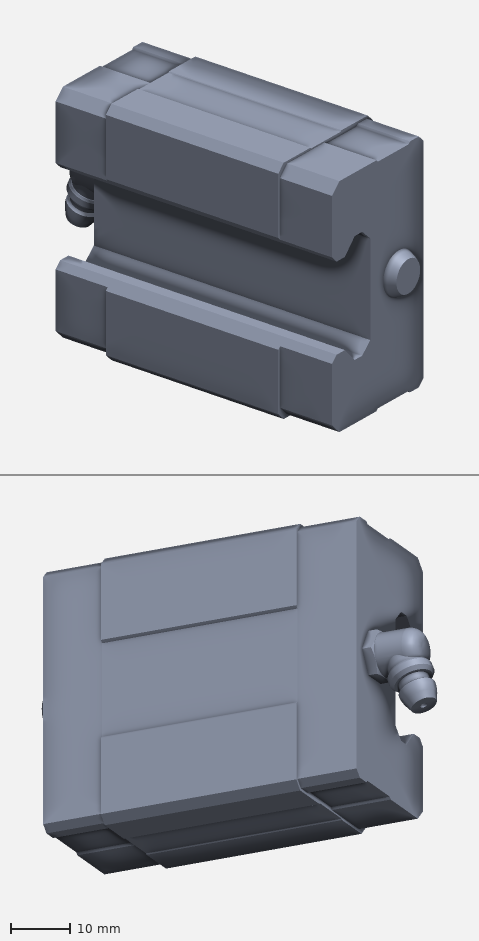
import cadquery as cq
import math


block_length = 36.8
block_depth = 26.0
block_half_width = 24.0
block_chamfer = 1.5
mount_groove_depth = 0.45
mount_groove_half_width = 8.4
side_groove_depth = 0.2
side_groove_y = (8.8, 17.3)

carriage_length = 59.0
cap_inset = 0.5
cap_front_chamfer = 2.0
cap_back_chamfer = 1.25
cap_groove_depth = 0.4
cap_groove_y = (12.65, 21.8)

channel_floor_y = 10.95
channel_half_width = 9.5
pocket_half_width = 11.6
pocket_y = (6.7, 8.75)
lip_half_width = 8.72
lip_y = (1.75, 4.0)

fitting_y = 18.8
hex_flats = 8.0
hex_length = 1.95
hex_chamfer_length = 0.3
hex_chamfer_depth = 0.6
elbow_diameter = 7.85
elbow_length = 9.55
elbow_rounding = 2.45
nipple_offset = 5.09
nipple_tilt = 22.5
boss_diameter = 7.0
flange_diameter = 8.0
flange_top_diameter = 7.5
flange_bottom_diameter = 6.9
neck_diameter = 5.5
head_diameter = 6.6
barrel_middle_diameter = 6.4
barrel_end_diameter = 5.6
tip_diameter = 4.6
tip_hole_diameter = 1.2
tip_hole_depth = 1.0

flange_start = 3.7
flange_rim_start = 4.1
flange_rim_end = 5.3
flange_end = 6.0
head_start = 7.3
barrel_start = 7.7
barrel_middle = 8.75
barrel_end = 9.85
tip_end = 11.07

plug_base_diameter = 8.6
plug_middle_diameter = 7.7
plug_tip_diameter = 6.5
plug_height = 2.0


def extrude_along_x(half_outline, length):
    """Mirror a half outline of (y, z) points about Z = 0 and extrude it, centred on X = 0."""
    lower_half = [(y, -z) for y, z in reversed(half_outline)]
    profile = cq.Workplane("YZ").polyline(half_outline + lower_half).close()
    return profile.extrude(length / 2, both=True)


def side_groove(y_range, side_z, depth):
    """Points of a shallow groove with 45 degree flanks, cut into the +Z side."""
    start, end = y_range
    return [
        (start, side_z),
        (start + depth, side_z - depth),
        (end - depth, side_z - depth),
        (end, side_z),
    ]


def make_block():
    half_outline = [
        (0, 0),
        (0, block_half_width - block_chamfer),
        (block_chamfer, block_half_width),
        *side_groove(side_groove_y, block_half_width, side_groove_depth),
        (block_depth - block_chamfer, block_half_width),
        (block_depth, block_half_width - block_chamfer),
        (block_depth, mount_groove_half_width + mount_groove_depth),
        (block_depth - mount_groove_depth, mount_groove_half_width),
    ]
    return extrude_along_x(half_outline, block_length)


def make_end_caps():
    """One bar through the block; its two ends are the end caps."""
    front_y = cap_inset
    back_y = block_depth - cap_inset
    side_z = block_half_width - cap_inset
    half_outline = [
        (front_y, side_z - cap_front_chamfer),
        (front_y + cap_front_chamfer, side_z),
        *side_groove(cap_groove_y, side_z, cap_groove_depth),
        (back_y - cap_back_chamfer, side_z),
        (back_y, side_z - cap_back_chamfer),
    ]
    return extrude_along_x(half_outline, carriage_length)


def make_channel():
    """Rail clearance with a flared mouth and a V pocket behind each lip."""
    half_outline = [
        (0, lip_half_width + lip_y[0]),
        (lip_y[0], lip_half_width),
        (lip_y[1], lip_half_width),
        (pocket_y[0], pocket_half_width),
        (pocket_y[1], pocket_half_width),
        (channel_floor_y, channel_half_width),
    ]
    return extrude_along_x(half_outline, carriage_length)


def make_hex():
    """Hexagon with flats facing +Z and -Z and its corners bevelled at the outer face."""
    hex_corners = hex_flats / math.cos(math.radians(30))
    hexagon = cq.Workplane("YZ").polygon(6, hex_corners).extrude(-hex_length)
    envelope = cq.Workplane("YZ").circle(hex_corners / 2).extrude(-hex_length)
    envelope = envelope.faces("<X").chamfer(hex_chamfer_length, hex_chamfer_depth)
    return hexagon.intersect(envelope)


def make_elbow():
    elbow = cq.Workplane("YZ").circle(elbow_diameter / 2).extrude(-elbow_length)
    return elbow.faces("<X").edges().fillet(elbow_rounding)


def make_nipple():
    """Turned nipple pointing along -Z, then tilted outward about the elbow axis."""
    nipple = (
        cq.Workplane("XZ")
        .lineTo(boss_diameter / 2, 0)
        .lineTo(boss_diameter / 2, -flange_start)
        .lineTo(flange_top_diameter / 2, -flange_start)
        .lineTo(flange_diameter / 2, -flange_rim_start)
        .lineTo(flange_diameter / 2, -flange_rim_end)
        .lineTo(flange_bottom_diameter / 2, -flange_end)
        .lineTo(neck_diameter / 2, -flange_end)
        .lineTo(neck_diameter / 2, -head_start)
        .lineTo(head_diameter / 2, -barrel_start)
        .threePointArc(
            (barrel_middle_diameter / 2, -barrel_middle),
            (barrel_end_diameter / 2, -barrel_end),
        )
        .lineTo(tip_diameter / 2, -tip_end)
        .lineTo(0, -tip_end)
        .close()
        .revolve(360, (0, 0, 0), (0, 1, 0))
    )
    nipple = nipple.faces("<Z").workplane().hole(tip_hole_diameter, tip_hole_depth)
    nipple = nipple.rotate((0, 0, 0), (0, 1, 0), nipple_tilt)
    return nipple.translate((-nipple_offset, 0, 0))


def make_fitting():
    fitting = make_hex().union(make_elbow()).union(make_nipple())
    return fitting.translate((-carriage_length / 2, fitting_y, 0))


def make_plug():
    plug = (
        cq.Workplane("XY")
        .lineTo(0, plug_base_diameter / 2)
        .threePointArc(
            (plug_height / 2, plug_middle_diameter / 2),
            (plug_height, plug_tip_diameter / 2),
        )
        .lineTo(plug_height, 0)
        .close()
        .revolve(360, (0, 0, 0), (1, 0, 0))
    )
    return plug.translate((carriage_length / 2, fitting_y, 0))


carriage = make_block().union(make_end_caps()).cut(make_channel())
result = carriage.union(make_fitting()).union(make_plug())